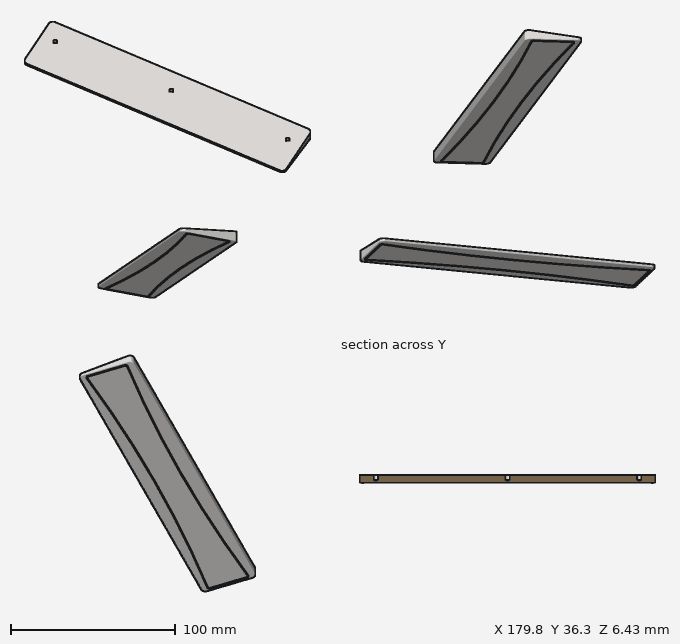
import cadquery as cq
import math

length = 179.8
width = 36.3
rear_height = 6.5
front_height = 2.0
corner_radius = 2.9
bottom_fillet = 0.5
slope_angle = math.degrees(math.atan2(rear_height - front_height, width))

ridge_width = 0.5
ridge_height = 0.4
ridge_end_inset = 1.6
ridge_corner_inset = 4.1
ridge_bow = 4.9
ridge_corner_radius = 1.5

hole_diameter = 2.5
hole_spacing = 80.0
hole_y = 5.0
hole_depth = 2.9
hole_tip_depth = 0.7


def make_wedge():
    """Rounded slab that tapers from the rear edge to the front edge."""
    side_profile = [
        (-width / 2, 0),
        (width / 2, 0),
        (width / 2, -rear_height),
        (-width / 2, -front_height),
    ]
    wedge = cq.Workplane("YZ").polyline(side_profile).close().extrude(length / 2, both=True)
    wedge = wedge.edges("|Z").fillet(corner_radius)
    return wedge.faces("<Z").edges().fillet(bottom_fillet)


def bowed_block(inset):
    """Block enclosed by the ridge's outer loop, shrunk on every side by the inset."""
    half_length = length / 2 - ridge_end_inset - inset
    half_width = width / 2 - ridge_corner_inset - inset
    half_waist = half_width - ridge_bow
    return (
        cq.Workplane("XY")
        .moveTo(-half_length, -half_width)
        .threePointArc((0, -half_waist), (half_length, -half_width))
        .lineTo(half_length, half_width)
        .threePointArc((0, half_waist), (-half_length, half_width))
        .close()
        .extrude(ridge_height, both=True)
        .edges("|Z")
        .fillet(ridge_corner_radius - inset)
    )


def make_ridge():
    """Thin closed rim standing square to the underside, centred on it."""
    ring = bowed_block(0).cut(bowed_block(ridge_width))
    underside_mid_z = -(rear_height + front_height) / 2
    return ring.rotate((0, 0, 0), (1, 0, 0), -slope_angle).translate((0, 0, underside_mid_z))


def make_hole_drills():
    """Three vertical pointed drills along the length, entering from the top face."""
    radius = hole_diameter / 2
    half_section = [(0, 0), (radius, 0), (radius, -hole_depth), (0, -hole_depth - hole_tip_depth)]
    drill = cq.Workplane("XZ").polyline(half_section).close().revolve(360, (0, 0), (0, 1))
    drills = cq.Workplane("XY")
    for side in (-1, 0, 1):
        drills = drills.add(drill.translate((side * hole_spacing, hole_y, 0)))
    return drills.combine()


result = make_wedge().union(make_ridge()).cut(make_hole_drills())